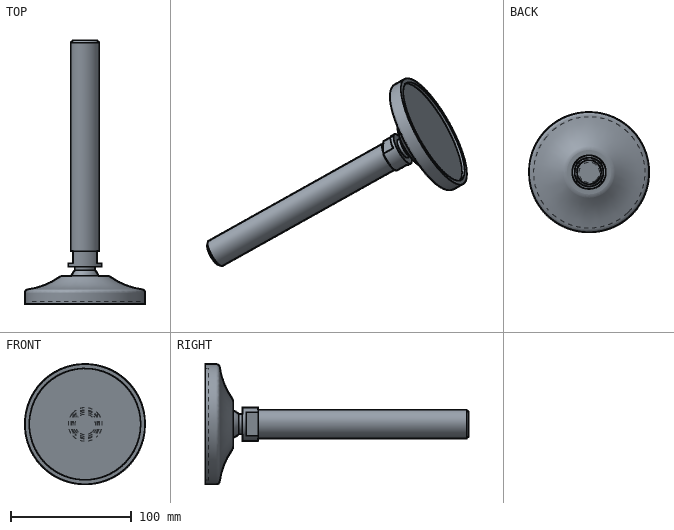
import cadquery as cq
import math

total_length = 219.0

foot_diameter = 100.0
foot_height = 23.5
shoulder_height = 12.0
rim_round = 3.0
crown_radius = 20.0
crown_round = 5.0
flank_sag = 2.2
recess_diameter = 92.5
recess_depth = 2.5

ball_diameter = 24.0
neck_diameter = 17.0
neck_base = 28.0

collar_diameter = 28.0
collar_base = 31.0
collar_length = 13.0
collar_flange = 3.0
across_flats = 20.0

stud_diameter = 24.0
stud_chamfer = 2.0


def cylinder(diameter, start, end):
    """Round bar about the Y axis between two heights."""
    base = cq.Workplane("XZ", origin=(0, start, 0))
    return base.circle(diameter / 2).extrude(start - end)


def make_foot():
    """Plate with a hollow flank and a shallow recess in the floor side."""
    outer = foot_diameter / 2
    run = outer - crown_radius
    rise = foot_height - shoulder_height
    chord = math.hypot(run, rise)
    flank_middle = (
        (outer + crown_radius) / 2 - flank_sag * rise / chord,
        (foot_height + shoulder_height) / 2 - flank_sag * run / chord,
    )
    foot = (
        cq.Workplane("XY")
        .lineTo(outer, 0)
        .lineTo(outer, shoulder_height)
        .threePointArc(flank_middle, (crown_radius, foot_height))
        .lineTo(0, foot_height)
        .close()
        .revolve(360, (0, 0), (0, 1))
    )
    foot = foot.faces(">Y").edges().fillet(crown_round)
    shoulder = cq.selectors.NearestToPointSelector((0, shoulder_height, 0))
    foot = foot.edges("%CIRCLE").edges(shoulder).fillet(rim_round)
    return foot.cut(cylinder(recess_diameter, 0, recess_depth))


def make_ball():
    """Ball seated in the foot, its centre set so the neck meets it at neck_base."""
    drop = math.sqrt((ball_diameter / 2) ** 2 - (neck_diameter / 2) ** 2)
    return cq.Workplane("XY").sphere(ball_diameter / 2).translate((0, neck_base - drop, 0))


def make_collar():
    """Round collar with two wrench flats facing -X and +X."""
    collar_top = collar_base + collar_length
    collar = cylinder(collar_diameter, collar_base, collar_top)
    flat_base = collar_base + collar_flange
    flat_length = collar_top - flat_base
    flat_depth = (collar_diameter - across_flats) / 2
    for side in (-1, 1):
        flat = cq.Workplane("XY").box(flat_depth, flat_length, collar_diameter)
        flat_centre = side * (across_flats + flat_depth) / 2
        collar = collar.cut(flat.translate((flat_centre, flat_base + flat_length / 2, 0)))
    return collar


def make_stud():
    """Long round stud with a chamfered free end."""
    stud = cylinder(stud_diameter, collar_base + collar_length, total_length)
    return stud.faces(">Y").chamfer(stud_chamfer)


neck = cylinder(neck_diameter, neck_base, collar_base)
result = make_foot().union(make_ball()).union(neck).union(make_collar()).union(make_stud())